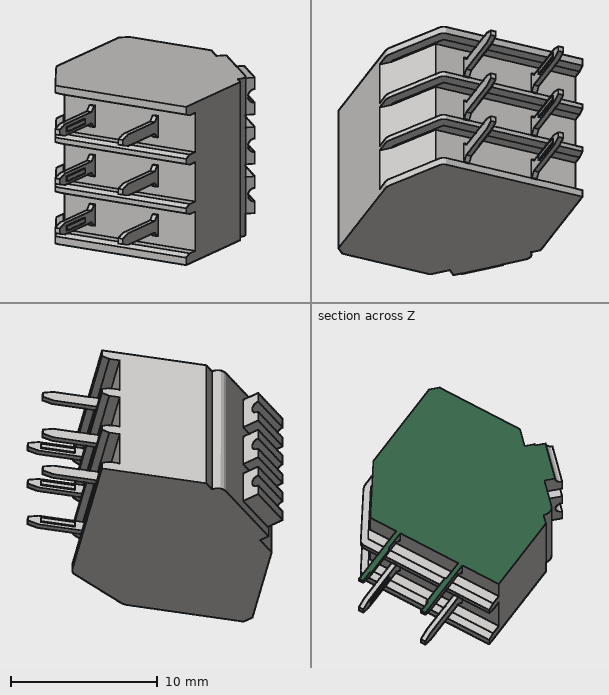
import cadquery as cq
import math

pole_count = 3
pole_pitch = 3.5
rib_thickness = 0.72
width = 12.74
depth = 12.95
height = pole_count * pole_pitch + rib_thickness

back_chamfer = 0.52
ramp_run = 2.37
ramp_angle = 60.0
ramp_rise = ramp_run * math.tan(math.radians(ramp_angle))
ramp_top_fillet = 1.0
ramp_foot_fillet = 0.52
shoulder_sum = 19.98
shoulder_fillet = 0.2
lip_start_offset = -3.91
lip_length = 5.94
lip_height = 0.69
lip_fillet = 0.67

bay_floor = 1.22
bay_ramp_top = bay_floor + ramp_rise
rib_bevel_in_plane = 0.5
rib_bevel_across = 0.18

button_start = 0.1
button_length = 3.05
button_height = 1.22
button_width = 2.6
groove_radius = 0.48

left_pin_x = 4.63
right_pin_x = 9.63
pin_thickness = 0.37
pin_tip_y = -3.5
pin_taper_y = -2.78
pin_root_y = 1.09
pin_root_width = 1.5
pin_shank_width = 0.82
pin_tip_width = 0.38
bead_height = 0.1
bead_width = 0.33
bead_start_y = -0.27
bead_end_y = -2.63

OVERLAP = 0.17

shoulder_start = cq.Vector(
    (shoulder_sum + lip_start_offset) / 2, (shoulder_sum - lip_start_offset) / 2, 0
)
shoulder_frame = cq.Plane(origin=shoulder_start, xDir=(1, -1, 0), normal=(0, 0, 1))


def shoulder_point(along, out):
    point = shoulder_frame.toWorldCoords((along, out, 0))
    return (point.x, point.y)


def fillet_corner(body, corner, radius):
    """Round the upright edge of a prism at the given outline corner."""
    nearest = cq.selectors.NearestToPointSelector((*corner, body.val().Center().z))
    return body.edges("|Z").edges(nearest).fillet(radius)


def make_block():
    """Full outline over the whole height, cut back to the bay floor."""
    shoulder_top = (shoulder_sum - depth, depth)
    lip_end = shoulder_point(lip_length, lip_height)
    outline = [
        (ramp_run, 0),
        (width, 0),
        (width, shoulder_sum - width),
        shoulder_point(lip_length, 0),
        lip_end,
        shoulder_point(0, lip_height),
        shoulder_point(0, 0),
        shoulder_top,
        (back_chamfer, depth),
        (0, depth - back_chamfer),
        (0, ramp_rise),
    ]
    block = cq.Workplane("XY").polyline(outline).close().extrude(height)
    block = fillet_corner(block, shoulder_top, shoulder_fillet)
    block = fillet_corner(block, lip_end, lip_fillet)

    bay_outline = [
        (0, 0),
        (width, 0),
        (width, bay_floor),
        (ramp_run, bay_floor),
        (0, bay_ramp_top),
    ]
    return block.cut(cq.Workplane("XY").polyline(bay_outline).close().extrude(height))


def make_half_rib(beveled):
    """Upper half of a rib, standing on its middle plane and filling the outline below the bays."""
    rib_back = bay_ramp_top + OVERLAP
    outline = [(ramp_run, 0), (width, 0), (width, rib_back), (0, rib_back), (0, ramp_rise)]
    half_rib = cq.Workplane("XY").polyline(outline).close().extrude(rib_thickness / 2)
    half_rib = fillet_corner(half_rib, (ramp_run, 0), ramp_foot_fillet)
    half_rib = fillet_corner(half_rib, (0, ramp_rise), ramp_top_fillet)
    if beveled:
        half_rib = half_rib.faces(">Z").edges("<Y").chamfer(rib_bevel_across, rib_bevel_in_plane)
    return half_rib


def make_rib(index):
    """Rib bevelled only on the sides that face a bay."""
    upper = make_half_rib(beveled=index < pole_count)
    lower = make_half_rib(beveled=index > 0).mirror("XY")
    return upper.union(lower).translate((0, 0, rib_thickness / 2 + index * pole_pitch))


def make_button(center_z):
    button = (
        cq.Workplane(shoulder_frame)
        .workplane(offset=center_z - button_width / 2)
        .moveTo(button_start, lip_height - OVERLAP)
        .rect(button_length, button_height + OVERLAP, centered=False)
        .extrude(button_width)
    )
    groove_start = shoulder_point(button_start, lip_height + button_height)
    groove = cq.Solid.makeCylinder(
        groove_radius, button_length, cq.Vector(*groove_start, center_z), shoulder_frame.xDir
    )
    return button.cut(cq.Workplane(groove))


def make_pin(x, center_z, bead_side):
    """Flat pin with a wide root; bead_side is the X direction of the beaded face."""
    root = pin_root_width / 2
    shank = pin_shank_width / 2
    tip = pin_tip_width / 2
    half_profile = [
        (bay_floor + OVERLAP, root),
        (pin_root_y, root),
        (pin_root_y - (root - shank), shank),
        (pin_taper_y, shank),
        (pin_tip_y, tip),
    ]
    mirrored = [(y, -z) for y, z in reversed(half_profile)]
    blade = (
        cq.Workplane("YZ", origin=(x, 0, center_z))
        .polyline(half_profile + mirrored)
        .close()
        .extrude(pin_thickness / 2, both=True)
    )
    bead = cq.Workplane("XY").box(
        pin_thickness / 2 + bead_height, bead_start_y - bead_end_y, bead_width
    )
    bead_x = x + bead_side * (pin_thickness / 2 + bead_height) / 2
    return blade.union(bead.translate((bead_x, (bead_start_y + bead_end_y) / 2, center_z)))


result = make_block()
for rib_index in range(pole_count + 1):
    result = result.union(make_rib(rib_index))
for pole in range(pole_count):
    pole_z = rib_thickness / 2 + (pole + 0.5) * pole_pitch
    result = result.union(make_button(pole_z))
    result = result.union(make_pin(left_pin_x, pole_z, 1))
    result = result.union(make_pin(right_pin_x, pole_z, -1))
result = result.clean()